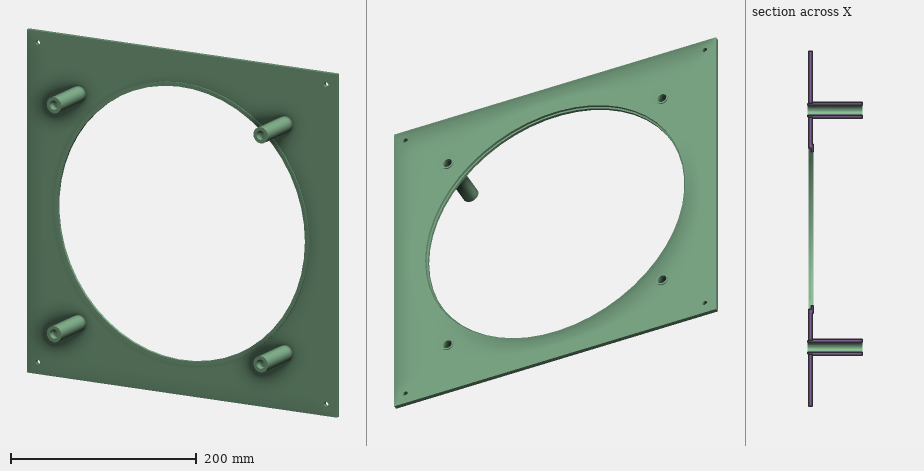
import cadquery as cq

plate_side = 382.5
plate_thickness = 4.5
corner_hole_diameter = 5.5
corner_hole_spacing = 356.0

ring_bore_diameter = 305.0
plate_opening_diameter = 309.0
ring_diameter = 314.0
ring_height = 1.0
lip_thickness = 3.0
lip_back = lip_thickness - ring_height

post_spacing = 255.0
post_diameter = 18.0
post_bore_diameter = 10.5
spigot_diameter = 14.0
spigot_projection = 1.0
overall_depth = 59.5
spigot_length = plate_thickness + spigot_projection
post_length = overall_depth - spigot_length


def square_pattern(spacing):
    """Corner points (X, Z) of a square centred on the opening."""
    half = spacing / 2
    return [(x, z) for x in (-half, half) for z in (-half, half)]


def cylinder(diameter, front_y, back_y, x=0, z=0):
    """Cylinder along Y between two depths."""
    return (
        cq.Workplane("XZ", origin=(x, back_y, z))
        .circle(diameter / 2)
        .extrude(back_y - front_y)
    )


def make_plate():
    """Square plate with its ring, central opening and holes."""
    plate = cq.Workplane("XY").box(
        plate_side, plate_thickness, plate_side, centered=(True, False, True)
    )
    plate = plate.union(cylinder(ring_diameter, -ring_height, 0))
    plate = plate.cut(cylinder(ring_bore_diameter, -ring_height, plate_thickness))
    plate = plate.cut(cylinder(plate_opening_diameter, lip_back, plate_thickness))
    for x, z in square_pattern(corner_hole_spacing):
        plate = plate.cut(cylinder(corner_hole_diameter, 0, plate_thickness, x, z))
    for x, z in square_pattern(post_spacing):
        plate = plate.cut(cylinder(spigot_diameter, 0, plate_thickness, x, z))
    return plate


def make_post(x, z):
    """Tubular post in front of the plate with its spigot behind the shoulder."""
    body = cylinder(post_diameter, -post_length, 0, x, z)
    spigot = cylinder(spigot_diameter, 0, spigot_length, x, z)
    bore = cylinder(post_bore_diameter, -post_length, spigot_length, x, z)
    return body.union(spigot).cut(bore)


plate = make_plate()
posts = [make_post(x, z) for x, z in square_pattern(post_spacing)]

result = cq.Compound.makeCompound([plate.val(), *[post.val() for post in posts]])